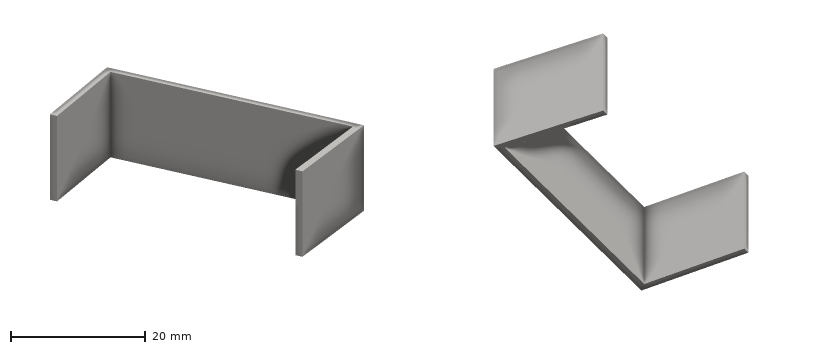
import cadquery as cq

length = 43.4
depth = 18.7
height = 14.0

wall = 1.2
toe_in = 0.378

half_length = length / 2
half_depth = depth / 2
tip_outer = half_length - toe_in
tip_inner = tip_outer - wall

lean_at_inner_corner = toe_in * wall / depth
root_inner = half_length - wall - lean_at_inner_corner
inner_back = half_depth - wall

right_half = [
    (half_length, half_depth),
    (tip_outer, -half_depth),
    (tip_inner, -half_depth),
    (root_inner, inner_back),
]
left_half = [(-x, y) for x, y in reversed(right_half)]

result = (
    cq.Workplane("XY")
    .polyline(right_half + left_half)
    .close()
    .extrude(height / 2, both=True)
)